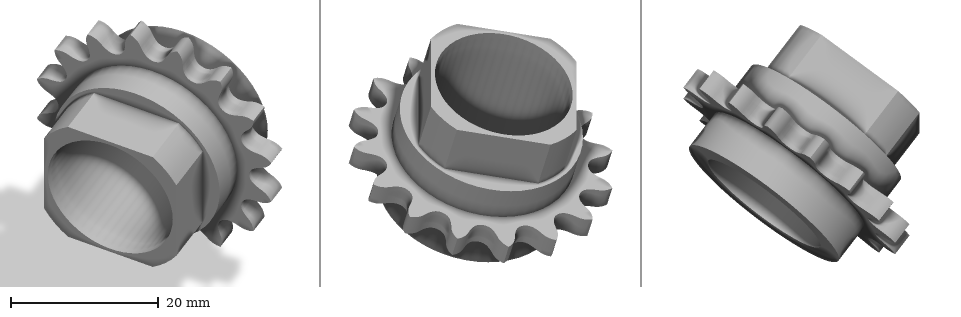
import cadquery as cq
import math


WIDTH_OVER_TIPS = 35.83
TOTAL_LENGTH = 21.6

HUB_DIAMETER = 25.4
HUB_LENGTH = 13.97
NECK_FLATS = 20.2
NECK_CORNER_DIAMETER = 24.0
BORE_DIAMETER = 19.1

PLATE_REAR_OFFSET = 5.7
PLATE_THICKNESS = 3.22

TOOTH_COUNT = 16
CHAIN_PITCH = 6.35
ROLLER_DIAMETER = 3.3
SEAT_DIAMETER = 3.4

TOOTH_ANGLE = 360 / TOOTH_COUNT
HALF_TOOTH_ANGLE = TOOTH_ANGLE / 2
PITCH_RADIUS = CHAIN_PITCH / (2 * math.sin(math.radians(HALF_TOOTH_ANGLE)))
TIP_RADIUS = WIDTH_OVER_TIPS / 2 / math.cos(math.radians(HALF_TOOTH_ANGLE))

SEAT_END_ANGLE = 35 + 60 / TOOTH_COUNT
WORKING_ARC_ANGLE = 18 - 56 / TOOTH_COUNT
TOPPING_ANGLE = 17 - 64 / TOOTH_COUNT

WORKING_CENTRE_OFFSET = 0.8 * ROLLER_DIAMETER
TOPPING_CENTRE_OFFSET = 1.4 * ROLLER_DIAMETER

SEAT_RADIUS = SEAT_DIAMETER / 2
WORKING_RADIUS = WORKING_CENTRE_OFFSET + SEAT_RADIUS
FLANK_STRAIGHT = (
    TOPPING_CENTRE_OFFSET * math.sin(math.radians(TOPPING_ANGLE))
    - WORKING_CENTRE_OFFSET * math.sin(math.radians(WORKING_ARC_ANGLE))
)
TOPPING_RADIUS = (
    TOPPING_CENTRE_OFFSET * math.cos(math.radians(TOPPING_ANGLE))
    + WORKING_CENTRE_OFFSET * math.cos(math.radians(WORKING_ARC_ANGLE))
    - WORKING_RADIUS
)


def offset(point, distance, angle):
    """Move a point by a distance along a direction in degrees."""
    direction = math.radians(angle)
    return (
        point[0] + distance * math.cos(direction),
        point[1] + distance * math.sin(direction),
    )


def rotate(point, angle):
    """Turn a point about the part axis by an angle in degrees."""
    cosine = math.cos(math.radians(angle))
    sine = math.sin(math.radians(angle))
    return (point[0] * cosine - point[1] * sine, point[0] * sine + point[1] * cosine)


def mirror(point):
    return (-point[0], point[1])


def flank_points():
    """Joints of the right-hand flank of the gap on +Z, from the seat out to the tip."""
    roller_centre = (0, PITCH_RADIUS)
    working_centre = offset(roller_centre, WORKING_CENTRE_OFFSET, 180 - SEAT_END_ANGLE)
    flank_normal = WORKING_ARC_ANGLE - SEAT_END_ANGLE

    seat_end = offset(roller_centre, SEAT_RADIUS, -SEAT_END_ANGLE)
    working_end = offset(working_centre, WORKING_RADIUS, flank_normal)
    straight_end = offset(working_end, FLANK_STRAIGHT, flank_normal + 90)
    tip = offset((0, 0), TIP_RADIUS, 90 - HALF_TOOTH_ANGLE)
    return seat_end, working_end, straight_end, tip


def tooth_outline():
    """Closed outline of all teeth, drawn gap by gap, clockwise."""
    seat_end, working_end, straight_end, tip = flank_points()
    outline = cq.Workplane("XZ", origin=(0, -PLATE_REAR_OFFSET, 0)).moveTo(*mirror(tip))
    for gap in range(TOOTH_COUNT):
        turn = -gap * TOOTH_ANGLE
        outline = (
            outline.radiusArc(rotate(mirror(straight_end), turn), TOPPING_RADIUS)
            .lineTo(*rotate(mirror(working_end), turn))
            .radiusArc(rotate(mirror(seat_end), turn), -WORKING_RADIUS)
            .radiusArc(rotate(seat_end, turn), -SEAT_RADIUS)
            .radiusArc(rotate(working_end, turn), -WORKING_RADIUS)
            .lineTo(*rotate(straight_end, turn))
            .radiusArc(rotate(tip, turn), TOPPING_RADIUS)
        )
    return outline.close()


def make_neck():
    """Square neck whose corners are rounded by a larger concentric cylinder."""
    neck_length = TOTAL_LENGTH - HUB_LENGTH
    front_of_hub = cq.Workplane("XZ", origin=(0, -HUB_LENGTH, 0))
    square = front_of_hub.rect(NECK_FLATS, NECK_FLATS).extrude(neck_length)
    corner_cylinder = front_of_hub.circle(NECK_CORNER_DIAMETER / 2).extrude(neck_length)
    return square.intersect(corner_cylinder)


hub = cq.Workplane("XZ").circle(HUB_DIAMETER / 2).extrude(HUB_LENGTH)
toothed_plate = tooth_outline().extrude(PLATE_THICKNESS)
bore = cq.Workplane("XZ").circle(BORE_DIAMETER / 2).extrude(TOTAL_LENGTH)

result = hub.union(toothed_plate).union(make_neck()).cut(bore)